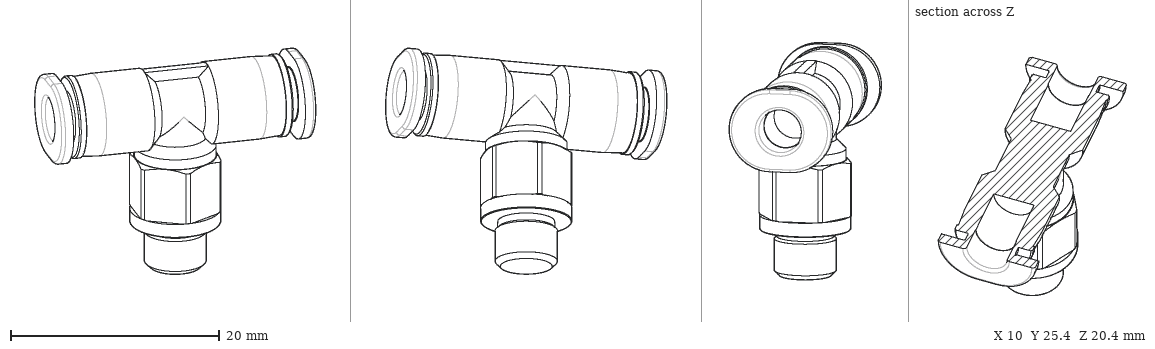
import cadquery as cq
import math

total_length = 25.4
total_height = 20.4

barrel_diameter = 8.0
barrel_radius = barrel_diameter / 2
waist_diameter = 6.0
waist_radius = waist_diameter / 2
shoulder_height = barrel_radius - waist_radius
shoulder_outer_y = 3.18
taper_start_y = 8.0
taper_drop = 0.14
collar_start_y = 9.98
barrel_end_y = 10.7
collar_edge_chamfer = 0.15

button_face_y = -total_length / 2
plate_width = 10.0
plate_thickness = 1.12
plate_edge_fillet = 0.3
sleeve_diameter = 5.18
sleeve_root_chamfer = 0.064

mouth_bore_diameter = 4.17
mouth_bore_depth = 2.75
mouth_fillet = 0.3
inner_bore_diameter = 4.1
inner_bore_depth = 7.62

rib_width = 1.0

stem_collar_diameter = 7.87
hex_across_flats = 8.0
hex_turned_diameter = 9.0
hex_turn = 30.0
hex_chamfer_angle = 30.0
hex_top_z = -5.0
hex_bottom_z = -10.5
flange_diameter = 8.8
flange_bottom_z = -11.89
flange_edge_chamfer = 0.08
undercut_diameter = 5.49
thread_diameter = 6.0
thread_top_z = -12.57
thread_top_chamfer_height = 0.23
thread_tip_chamfer = 0.5
stem_bottom_z = barrel_radius - total_height


def revolve_about_z(profile):
    """Revolve a list of (radius, z) points about the Z axis."""
    return cq.Workplane("XZ").polyline(profile).close().revolve(360, (0, 0, 0), (0, 1, 0))


def revolve_about_y(profile):
    """Revolve a list of (radius, y) points about the Y axis."""
    return cq.Workplane("XY").polyline(profile).close().revolve(360, (0, 0, 0), (0, 1, 0))


def make_run_body():
    """Both barrels and the waist between them, mirrored about Y = 0."""
    half_profile = [
        (waist_radius, shoulder_outer_y - shoulder_height),
        (barrel_radius, shoulder_outer_y),
        (barrel_radius, taper_start_y),
        (barrel_radius - taper_drop, collar_start_y),
        (barrel_radius, collar_start_y),
        (barrel_radius, barrel_end_y - collar_edge_chamfer),
        (barrel_radius - collar_edge_chamfer, barrel_end_y),
        (0, barrel_end_y),
    ]
    mirrored = [(radius, -y) for radius, y in reversed(half_profile)]
    return revolve_about_y(mirrored + half_profile)


def make_button():
    """Release button at the -Y end: rounded plate plus the sleeve behind it."""
    plate = (
        cq.Workplane("XZ", origin=(0, button_face_y, 0))
        .slot2D(plate_width, barrel_diameter)
        .extrude(-plate_thickness)
        .faces("<Y")
        .edges()
        .fillet(plate_edge_fillet)
    )
    plate_back_y = button_face_y + plate_thickness
    sleeve_radius = sleeve_diameter / 2
    sleeve = revolve_about_y([
        (0, plate_back_y),
        (sleeve_radius + sleeve_root_chamfer, plate_back_y),
        (sleeve_radius, plate_back_y + sleeve_root_chamfer),
        (sleeve_radius, -barrel_end_y),
        (0, -barrel_end_y),
    ])
    return plate.union(sleeve)


def make_bore():
    """Blind bore at the -Y end with a rounded mouth and a slight step down inside."""
    mouth_radius = mouth_bore_diameter / 2
    inner_radius = inner_bore_diameter / 2
    step_y = button_face_y + mouth_bore_depth
    floor_y = button_face_y + inner_bore_depth
    fillet_end = (mouth_radius, button_face_y + mouth_fillet)
    arc_inset = mouth_fillet * (1 - math.sqrt(0.5))
    fillet_middle = (mouth_radius + arc_inset, button_face_y + arc_inset)
    return (
        cq.Workplane("XY")
        .moveTo(0, button_face_y)
        .lineTo(mouth_radius + mouth_fillet, button_face_y)
        .threePointArc(fillet_middle, fillet_end)
        .lineTo(mouth_radius, step_y)
        .lineTo(inner_radius, step_y)
        .lineTo(inner_radius, floor_y)
        .lineTo(0, floor_y)
        .close()
        .revolve(360, (0, 0, 0), (0, 1, 0))
    )


def make_rib():
    """Flat-topped rib that bridges the two shoulders, as high as the barrels."""
    return cq.Workplane("XY").box(
        rib_width, 2 * shoulder_outer_y, barrel_radius, centered=(True, True, False)
    )


def make_stem():
    """Turned stem: waist, 45 degree cone, collar, flange, undercut and thread."""
    collar_radius = stem_collar_diameter / 2
    flange_radius = flange_diameter / 2
    undercut_radius = undercut_diameter / 2
    thread_radius = thread_diameter / 2
    cone_height = collar_radius - waist_radius
    return revolve_about_z([
        (0, 0),
        (waist_radius, 0),
        (waist_radius, -barrel_radius + cone_height),
        (collar_radius, -barrel_radius),
        (collar_radius, hex_bottom_z),
        (flange_radius, hex_bottom_z),
        (flange_radius, flange_bottom_z + flange_edge_chamfer),
        (flange_radius - flange_edge_chamfer, flange_bottom_z),
        (undercut_radius, flange_bottom_z),
        (undercut_radius, thread_top_z),
        (thread_radius, thread_top_z - thread_top_chamfer_height),
        (thread_radius, stem_bottom_z + thread_tip_chamfer),
        (thread_radius - thread_tip_chamfer, stem_bottom_z),
        (0, stem_bottom_z),
    ])


def make_hex():
    """Hexagon with two flats facing Y, its corners turned down and chamfered at both ends."""
    hexagon = (
        cq.Workplane("XY", origin=(0, 0, hex_bottom_z))
        .transformed(rotate=(0, 0, hex_turn))
        .polygon(6, hex_across_flats, circumscribed=True)
        .extrude(hex_top_z - hex_bottom_z)
    )
    corner_radius = hex_turned_diameter / 2
    top_radius = hex_across_flats / 2
    bottom_radius = flange_diameter / 2
    slope = math.tan(math.radians(hex_chamfer_angle))
    envelope = revolve_about_z([
        (0, hex_top_z),
        (top_radius, hex_top_z),
        (corner_radius, hex_top_z - (corner_radius - top_radius) * slope),
        (corner_radius, hex_bottom_z + (corner_radius - bottom_radius) * slope),
        (bottom_radius, hex_bottom_z),
        (0, hex_bottom_z),
    ])
    return hexagon.intersect(envelope)


result = make_run_body().union(make_rib()).union(make_stem()).union(make_hex())
for turn in (0, 180):
    button = make_button().rotate((0, 0, 0), (0, 0, 1), turn)
    bore = make_bore().rotate((0, 0, 0), (0, 0, 1), turn)
    result = result.union(button).cut(bore)